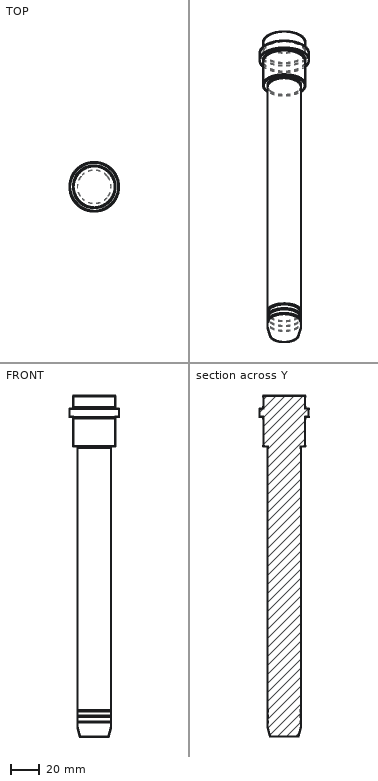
import cadquery as cq
import math

total_length = 241.0
shaft_diameter = 24.0
shoulder_diameter = 30.0
collar_diameter = 35.0

head_length = 9.0
collar_thickness = 6.0
shoulder_length = 21.0
collar_top = total_length - head_length
collar_bottom = collar_top - collar_thickness
shoulder_bottom = collar_bottom - shoulder_length

collar_edge_chamfer = 0.5
shoulder_edge_chamfer = 0.5
head_edge_chamfer = 0.5

relief_width = 1.0
relief_depth = 0.3

lead_length = 7.0
lead_angle = 15.0
lead_tip_radius = 0.5

groove_count = 3
groove_pitch = 4.0
first_groove_height = 10.0
groove_width = 1.0
groove_depth = 0.3


def cylinder(diameter, bottom, top):
    """Solid cylinder on the pin axis between two heights."""
    return cq.Workplane("XY").workplane(offset=bottom).circle(diameter / 2).extrude(top - bottom)


def notch_cutter(diameter, depth, bottom, width):
    """Ring that notches a cylinder with a flat floor between 45 degree walls."""
    radius = diameter / 2
    top = bottom + width
    notch = [
        (radius, bottom),
        (radius - depth, bottom + depth),
        (radius - depth, top - depth),
        (radius, top),
    ]
    return cq.Workplane("XZ").polyline(notch).close().revolve(360, (0, 0, 0), (0, 1, 0))


def make_shaft():
    """Long shaft with a tapered, rounded lead-in at its lower end."""
    shaft = cylinder(shaft_diameter, lead_length, shoulder_bottom)
    tip_diameter = shaft_diameter - 2 * lead_length * math.tan(math.radians(lead_angle))
    lead = (
        cq.Workplane("XY")
        .circle(tip_diameter / 2)
        .workplane(offset=lead_length)
        .circle(shaft_diameter / 2)
        .loft(ruled=True)
        .faces("<Z")
        .edges()
        .fillet(lead_tip_radius)
    )
    return shaft.union(lead)


def make_shoulder():
    """Thick upper section, chamfered at both ends."""
    shoulder = cylinder(shoulder_diameter, shoulder_bottom, total_length)
    shoulder = shoulder.faces("<Z").edges().chamfer(shoulder_edge_chamfer)
    return shoulder.faces(">Z").edges().chamfer(head_edge_chamfer)


def make_collar():
    """Locating collar with a chamfered upper rim."""
    collar = cylinder(collar_diameter, collar_bottom, collar_top)
    return collar.faces(">Z").edges().chamfer(collar_edge_chamfer)


def cut_reliefs(pin):
    """Reliefs above the collar, below the collar and below the shoulder."""
    relief_places = [
        (shoulder_diameter, collar_top),
        (shoulder_diameter, collar_bottom - relief_width),
        (shaft_diameter, shoulder_bottom - relief_width),
    ]
    for diameter, bottom in relief_places:
        pin = pin.cut(notch_cutter(diameter, relief_depth, bottom, relief_width))
    return pin


def cut_oil_grooves(pin):
    """Evenly spaced oil grooves around the lower shaft."""
    for index in range(groove_count):
        bottom = first_groove_height + index * groove_pitch
        pin = pin.cut(notch_cutter(shaft_diameter, groove_depth, bottom, groove_width))
    return pin


pin = make_shaft().union(make_shoulder()).union(make_collar())
pin = cut_reliefs(pin)
result = cut_oil_grooves(pin)